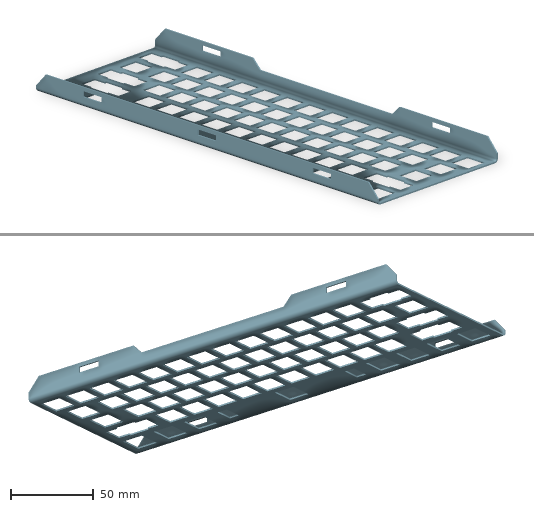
import cadquery as cq

LENGTH = 288.8
DEPTH = 105.5
BACK_HEIGHT = 15.0
FRONT_HEIGHT = 13.0
SHEET = 1.0
INNER_BEND = 1.5
OUTER_BEND = INNER_BEND + SHEET

END_CHAMFER_LENGTH = 8.0
END_CHAMFER_HEIGHT = 9.0
NOTCH_TOP_LENGTH = 124.2
NOTCH_DEPTH = 6.4
TRIM_MARGIN = 3.0

SLOT_LENGTH = 15.5
SLOT_HEIGHT = 3.8
SLOT_TOP_MARGIN = 2.5
SLOT_SPACING = 97.0

KEY_UNIT = 19.0
SWITCH_SIZE = 14.5
LAYOUT_Y = -0.3
SPACE_BAR_WIDTH = 6.25

KEY_ROWS = [
    [2] + [1] * 13,
    [1.5] + [1] * 12 + [1.5],
    [2.25] + [1] * 11 + [1.75],
    [2.75] + [1] * 10 + [2.25],
    [1.25] * 4 + [SPACE_BAR_WIDTH] + [1.25] * 3,
]

STABILIZED_WIDTH = 2
STABILIZER_LENGTH = 31.2
STABILIZER_HEIGHT = 11.8
STABILIZER_SHIFT = -0.15
SPACE_STABILIZER_WIDTH = 7.2
SPACE_STABILIZER_SPACING = 100.0


def bent_sheet():
    """U-shaped sheet with rounded bends, both flanges at full back height."""
    outer = (
        cq.Workplane("XY")
        .box(LENGTH, DEPTH, BACK_HEIGHT, centered=(True, True, False))
        .edges("|X and <Z")
        .fillet(OUTER_BEND)
    )
    inner = (
        cq.Workplane("XY")
        .workplane(offset=SHEET)
        .box(LENGTH, DEPTH - 2 * SHEET, BACK_HEIGHT, centered=(True, True, False))
        .edges("|X and <Z")
        .fillet(INNER_BEND)
    )
    return outer.cut(inner)


def through_flange(outline, y_side):
    """Extrude an XZ outline across the front (-1) or back (+1) half of the plate."""
    return outline.extrude(-y_side * DEPTH)


def flange_trim(height, y_side):
    """Material removed above one flange: everything over its chamfered top edge."""
    half = LENGTH / 2
    above_part = BACK_HEIGHT + TRIM_MARGIN
    outline = (
        cq.Workplane("XZ")
        .moveTo(-half, height - END_CHAMFER_HEIGHT)
        .lineTo(-half + END_CHAMFER_LENGTH, height)
        .lineTo(half - END_CHAMFER_LENGTH, height)
        .lineTo(half, height - END_CHAMFER_HEIGHT)
        .lineTo(half, above_part)
        .lineTo(-half, above_part)
        .close()
    )
    return through_flange(outline, y_side)


def flange_slots(height, x_positions, y_side):
    """Row of rectangular slots just below the top edge of one flange."""
    center_z = height - SLOT_TOP_MARGIN - SLOT_HEIGHT / 2
    slots = (
        cq.Workplane("XZ")
        .pushPoints([(x, center_z) for x in x_positions])
        .rect(SLOT_LENGTH, SLOT_HEIGHT)
    )
    return through_flange(slots, y_side)


def back_notch():
    """Wide notch with 45-degree ends in the middle of the back flange."""
    half_top = NOTCH_TOP_LENGTH / 2
    half_floor = half_top - NOTCH_DEPTH
    floor_z = BACK_HEIGHT - NOTCH_DEPTH
    outline = cq.Workplane("XZ").polyline([
        (-half_top, BACK_HEIGHT),
        (-half_floor, floor_z),
        (half_floor, floor_z),
        (half_top, BACK_HEIGHT),
    ]).close()
    return through_flange(outline, 1)


def openings(centers, length, width):
    """Rectangular openings through the web."""
    return cq.Workplane("XY").pushPoints(centers).rect(length, width).extrude(SHEET)


def key_centers():
    """List of (key width, x, y) for every key."""
    keys = []
    middle_row = (len(KEY_ROWS) - 1) / 2
    for row, widths in enumerate(KEY_ROWS):
        y = LAYOUT_Y + (middle_row - row) * KEY_UNIT
        left = -sum(widths) / 2
        for width in widths:
            x = (left + width / 2) * KEY_UNIT
            keys.append((width, x, y))
            left += width
    return keys


keys = key_centers()
switch_centers = [(x, y) for _, x, y in keys]
stabilizer_centers = [
    (x, y + STABILIZER_SHIFT)
    for width, x, y in keys
    if STABILIZED_WIDTH <= width < SPACE_BAR_WIDTH
]
space_stabilizer_centers = [
    (x + side * SPACE_STABILIZER_SPACING / 2, y + STABILIZER_SHIFT)
    for width, x, y in keys
    if width == SPACE_BAR_WIDTH
    for side in (-1, 1)
]

outer_slots = [-SLOT_SPACING, SLOT_SPACING]

result = (
    bent_sheet()
    .cut(flange_trim(FRONT_HEIGHT, -1))
    .cut(flange_trim(BACK_HEIGHT, 1))
    .cut(back_notch())
    .cut(flange_slots(FRONT_HEIGHT, outer_slots + [0], -1))
    .cut(flange_slots(BACK_HEIGHT, outer_slots, 1))
    .cut(openings(switch_centers, SWITCH_SIZE, SWITCH_SIZE))
    .cut(openings(stabilizer_centers, STABILIZER_LENGTH, STABILIZER_HEIGHT))
    .cut(openings(space_stabilizer_centers, SPACE_STABILIZER_WIDTH, STABILIZER_HEIGHT))
)